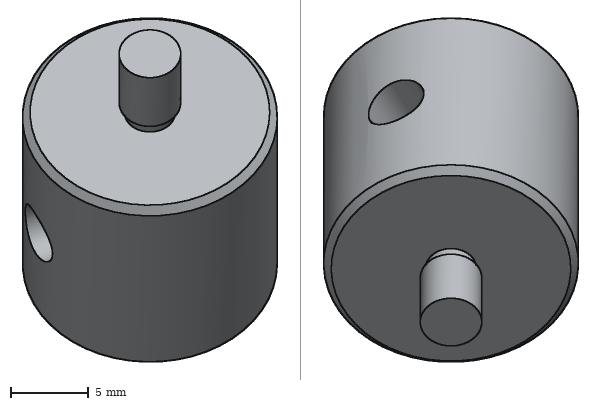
import cadquery as cq

body_diameter = 16.5
body_height = 16.0
body_chamfer = 0.5

stud_diameter = 4.0
neck_diameter = 3.3
neck_length = 1.0
top_stud_length = 6.0
total_height = 27.5
bottom_stud_length = total_height - body_height - top_stud_length

cross_hole_diameter = stud_diameter


def make_body():
    body = cq.Workplane("XY").cylinder(body_height, body_diameter / 2)
    body = body.faces("<Z or >Z").edges().chamfer(body_chamfer)
    hole = cq.Workplane("XZ").cylinder(body_diameter, cross_hole_diameter / 2)
    return body.cut(hole)


def make_stud(length, direction):
    """Neck and stud on the body end facing +Z (direction 1) or -Z (direction -1)."""
    body_end = cq.Workplane("XY").workplane(offset=direction * body_height / 2)
    neck = body_end.circle(neck_diameter / 2).extrude(direction * neck_length)
    stud = (
        body_end.workplane(offset=direction * neck_length)
        .circle(stud_diameter / 2)
        .extrude(direction * (length - neck_length))
    )
    return neck.union(stud)


result = make_body()
result = result.union(make_stud(top_stud_length, 1))
result = result.union(make_stud(bottom_stud_length, -1))